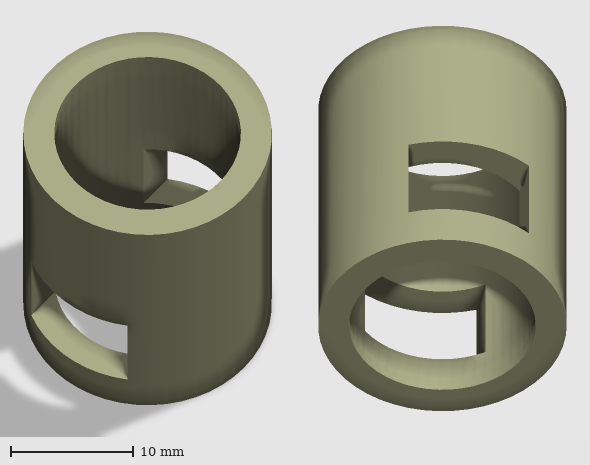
import cadquery as cq

height = 24.13
outer_diameter = 20.32
bore_diameter = 15.25

window_width = outer_diameter / 2
window_height = 7.63
window_bottom = 3.45


def make_tube():
    return (
        cq.Workplane("XY")
        .circle(outer_diameter / 2)
        .circle(bore_diameter / 2)
        .extrude(height)
    )


def make_window_cutter():
    return (
        cq.Workplane("XY")
        .workplane(offset=window_bottom)
        .rect(window_width, outer_diameter)
        .extrude(window_height)
    )


result = make_tube().cut(make_window_cutter())